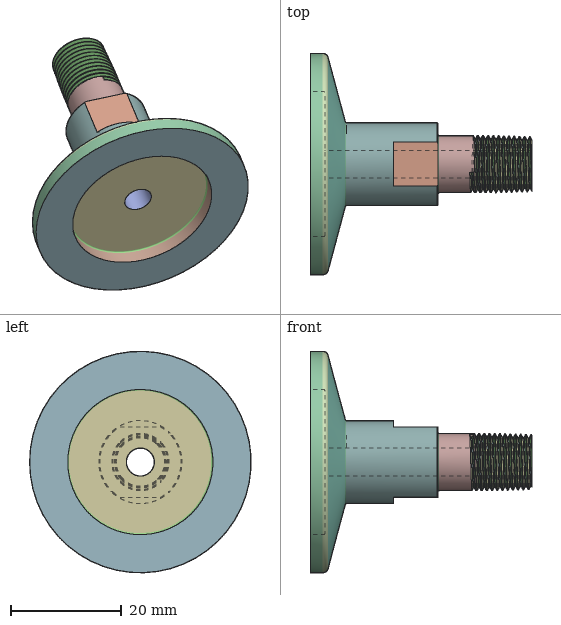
import cadquery as cq
import math

flange_radius = 20.0
rim_width = 2.25
rim_fillet = 1.0
cone_angle = math.radians(15)
recess_diameter = 26.2
recess_depth = 2.6
recess_fillet = 0.25

hub_diameter = 15.0
hub_radius = hub_diameter / 2
hub_end = 23.05
hub_chamfer = 0.15
neck_fillet = 0.2
flats_start = 15.0
across_flats = 12.7

total_length = 40.0
stem_radius = 5.15
stem_fillet = 0.25
pick_margin = 0.05
bore_diameter = 5.0

ten_turns_length = 9.4
thread_pitch = ten_turns_length / 10
thread_start = 29.1
thread_start_angle = 107.0
thread_depth = 0.6
groove_width = 0.85
root_flat = 0.2
taper_start = 33.6
taper = 1 / 32
groove_runout = 1.4
groove_overrun = 0.05


def make_body():
    """Revolve the flange, hub and stem about X."""
    arc_center_x = rim_width
    arc_center_r = flange_radius - rim_fillet
    cone_start_x = arc_center_x + rim_fillet * math.cos(cone_angle)
    cone_start_r = arc_center_r + rim_fillet * math.sin(cone_angle)
    mid_angle = (cone_angle + math.pi / 2) / 2
    arc_mid = (
        arc_center_x + rim_fillet * math.cos(mid_angle),
        arc_center_r + rim_fillet * math.sin(mid_angle),
    )
    cone_end_x = cone_start_x + (cone_start_r - hub_radius) * math.tan(cone_angle)
    end_radius = stem_radius - (total_length - taper_start) * taper
    taper_middle = ((taper_start + total_length) / 2, (stem_radius + end_radius) / 2)
    body = (
        cq.Workplane("XY")
        .lineTo(0, flange_radius)
        .lineTo(rim_width, flange_radius)
        .threePointArc(arc_mid, (cone_start_x, cone_start_r))
        .lineTo(cone_end_x, hub_radius)
        .lineTo(hub_end - hub_chamfer, hub_radius)
        .lineTo(hub_end, hub_radius - hub_chamfer)
        .lineTo(hub_end, stem_radius)
        .lineTo(taper_start, stem_radius)
        .spline([taper_middle, (total_length, end_radius)], includeCurrent=True)
        .lineTo(total_length, 0)
        .close()
        .revolve(360, (0, 0, 0), (1, 0, 0))
    )

    def edge_at(x, radius):
        """Select the circular edge of this radius around X."""
        reach = radius + pick_margin
        return cq.selectors.BoxSelector(
            (x - pick_margin, -reach, -reach), (x + pick_margin, reach, reach), boundingbox=True
        )

    body = body.edges(edge_at(cone_end_x, hub_radius)).fillet(neck_fillet)
    return body.edges(edge_at(hub_end, stem_radius)).fillet(stem_fillet)


def cut_recess(body):
    """Sink the round recess, with a rounded floor corner, into the flange face."""
    recess = (
        cq.Workplane("YZ")
        .circle(recess_diameter / 2)
        .extrude(recess_depth)
        .faces(">X")
        .edges()
        .fillet(recess_fillet)
    )
    return body.cut(recess)


def cut_bore(body):
    """Drill the bore right through."""
    return body.cut(cq.Workplane("YZ").circle(bore_diameter / 2).extrude(total_length))


def cut_wrench_flats(body):
    """Cut a flat above and below on the free end of the hub."""
    flats_length = hub_end - flats_start
    cut_height = hub_radius
    for side in (1, -1):
        cutter = cq.Workplane("XY").box(flats_length, 2 * hub_radius, cut_height).translate(
            (flats_start + flats_length / 2, 0, side * (across_flats + cut_height) / 2)
        )
        body = body.cut(cutter)
    return body


def cut_thread(body):
    """Cut a V groove along a conical helix that runs out past the stem end."""
    helix_length = total_length + groove_runout - thread_start
    taper_angle = -math.degrees(math.atan(taper))
    cone_radius = stem_radius + (taper_start - thread_start) * taper
    root_radius = cone_radius - thread_depth
    top_radius = cone_radius + groove_overrun
    root_half = root_flat / 2
    flank_slope = (groove_width / 2 - root_half) / thread_depth
    top_half = root_half + flank_slope * (top_radius - root_radius)
    profile = [
        (root_radius, -root_half),
        (top_radius, -top_half),
        (top_radius, top_half),
        (root_radius, root_half),
    ]

    helices = [
        cq.Wire.makeHelix(thread_pitch, helix_length, radius, angle=taper_angle).translate(cq.Vector(0, 0, z))
        for radius, z in profile
    ]
    faces = [cq.Face.makeRuledSurface(helices[i - 1], helices[i]) for i in range(len(helices))]
    for end in (0, 1):
        corners = [helix.positionAt(end) for helix in helices]
        faces.append(cq.Face.makeFromWires(cq.Wire.makePolygon(corners, close=True)))
    groove = cq.Workplane(obj=cq.Solid.makeSolid(cq.Shell.makeShell(faces)))

    groove = (
        groove.rotate((0, 0, 0), (1, 1, 1), 120)
        .rotate((0, 0, 0), (1, 0, 0), thread_start_angle)
        .translate((thread_start, 0, 0))
    )
    return body.cut(groove)


result = make_body()
result = cut_recess(result)
result = cut_bore(result)
result = cut_wrench_flats(result)
result = cut_thread(result)